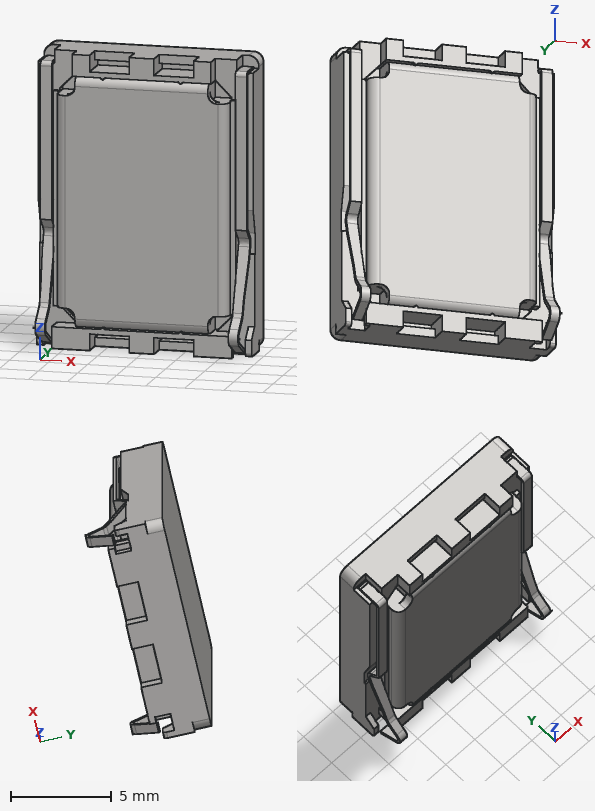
import cadquery as cq
import math


width = 11.0
height = 15.0
half_width = width / 2
mid_height = height / 2
corner_radius = 0.52
upper_corner_depth = 0.98
lower_corner_depth = 0.87

shelf_depth = 2.12
dip_depth = 1.74
low_shelf_depth = 1.85
core_depth = 2.34
bar_depth = 2.95
plate_depth = 3.02
overall_depth = 3.98

core_half_width = 4.66
shelf_slope_top = 7.4
shelf_slope_bottom = 6.16
dip_bottom = 5.1
core_half_height = 5.46

prong_width = 0.32
prong_depth = 2.43
prong_top = 0.87
prong_slope_top = 1.42
prong_corner_radius = 0.18

notch_height = 0.63

bar_height = 1.11
top_bar_half_width = 3.55
bottom_bar_half_width = 4.6
tip_recess_width = 0.3
tip_recess_height = 0.51
tip_recess_depth = 2.62

pocket_width = 2.02
pocket_spacing = 3.3
pocket_height = 0.84
pocket_back_depth = 1.89
lip_height = 0.45
undercut = 0.6
nib_spacing = 3.99
nib_half_width = 0.14
nib_height = 0.1

plate_half_width = 4.4
plate_half_height = mid_height - bar_height
plate_corner_chamfer = 0.82
plate_edge_radius = 0.48
plate_top = mid_height + plate_half_height
corner_notch_depth = 2.56
corner_pocket_depth = 1.5
corner_pocket_width = 0.99

spring_thickness = 0.16
spring_outer = 5.28
spring_inner = 4.7
spring_tip_outer = 5.19
taper_top = 4.88
taper_bottom = 3.0
spring_leg_depth = 1.05
spring_top = 14.49
spring_front_depth = 2.55
spring_bend_radius = 0.15
spring_leg_bevel_length = 0.18
spring_leg_bevel_height = 0.09
spring_run_bottom = 6.48

dip_start = (-2.02, 6.03)
dip_middle_z = 5.75
dip_end = (-1.86, 5.48)
elbow_start = (-2.98, 2.32)
elbow_middle = (-3.05, 2.2)
elbow_end = (-3.14, 2.08)
loop_start = (-3.68, 1.6)
loop_middle_z = 1.23
loop_end = (-3.72, 0.92)
tip_end = (-2.6, 0.32)


def box(x0, x1, depth0, depth1, z0, z1):
    """Box between two X, two depth and two Z positions."""
    size = (x1 - x0, depth1 - depth0, z1 - z0)
    return cq.Workplane("XY").box(*size, centered=False).translate((x0, -depth1, z0))


def side_profile(points, x0, x1):
    """Outline of (depth, Z) points, extruded from x0 to x1."""
    outline = [(-depth, z) for depth, z in points]
    return cq.Workplane("YZ").polyline(outline).close().extrude(x1 - x0).translate((x0, 0, 0))


def mirrored(solid):
    """The solid together with its mirror image across X = 0."""
    return solid.union(solid.mirror("YZ"))


def top_bottom(solid):
    """The solid together with its mirror image across mid height."""
    return solid.union(solid.mirror("XY", (0, 0, mid_height)))


def corner_trim(depth):
    """Sliver outside the rounded upper corner, from the back to a depth."""
    x = half_width - corner_radius
    z = height - corner_radius
    square = box(-half_width, -x, 0, depth, z, height)
    disc = cq.Workplane("XZ", origin=(-x, 0, z)).circle(corner_radius).extrude(depth)
    return square.cut(disc)


def make_body():
    """Back housing with stepped side shelves, a raised core and lower prongs."""
    shelf_outline = [
        (0, 0),
        (0, height),
        (shelf_depth, height),
        (shelf_depth, shelf_slope_top),
        (dip_depth, shelf_slope_bottom),
        (dip_depth, dip_bottom),
        (low_shelf_depth, dip_bottom),
        (low_shelf_depth, 0),
    ]
    prong_outline = [
        (0, 0),
        (0, prong_slope_top),
        (low_shelf_depth, prong_slope_top),
        (prong_depth, prong_top),
        (prong_depth, 0),
    ]
    core_bottom = mid_height - core_half_height
    core_top = mid_height + core_half_height
    body = side_profile(shelf_outline, -half_width, half_width)
    prong = side_profile(prong_outline, -half_width, -half_width + prong_width)
    prong = prong.edges("|X and <Y and <Z").fillet(prong_corner_radius)
    body = body.union(mirrored(prong))
    body = body.union(box(-core_half_width, core_half_width, 0, shelf_depth, core_bottom, height))
    body = body.union(box(-core_half_width, core_half_width, 0, core_depth, core_bottom, core_top))

    notch_bottom = height - notch_height
    notch = box(-half_width, -core_half_width, upper_corner_depth, bar_depth, notch_bottom, height)
    lower_trim = corner_trim(lower_corner_depth).mirror("XY", (0, 0, mid_height))
    body = body.cut(mirrored(notch))
    body = body.cut(mirrored(corner_trim(upper_corner_depth)))
    return body.cut(mirrored(lower_trim))


def make_bars():
    """End bars with small nibs that press on the cover plate."""
    bar_bottom = height - bar_height
    bars = box(-top_bar_half_width, top_bar_half_width, 0, bar_depth, bar_bottom, height)
    bars = bars.union(box(-bottom_bar_half_width, bottom_bar_half_width, 0, bar_depth, 0, bar_height))

    nib_x = nib_spacing / 2
    nib_points = [
        (-nib_x - nib_half_width, bar_bottom),
        (-nib_x + nib_half_width, bar_bottom),
        (-nib_x, bar_bottom - nib_height),
    ]
    nib = cq.Workplane("XZ").polyline(nib_points).close().extrude(bar_depth)
    return bars.union(mirrored(top_bottom(nib)))


def make_bar_cuts():
    """Undercut pockets in both bars and the recesses behind the spring tips."""
    x0 = -(pocket_spacing + pocket_width) / 2
    x1 = x0 + pocket_width
    floor = height - pocket_height
    pocket = box(x0, x1, pocket_back_depth, bar_depth, floor, height)
    pocket = pocket.union(
        box(x0, x1, pocket_back_depth - undercut, bar_depth, floor, height - lip_height)
    )
    recess = box(
        -bottom_bar_half_width,
        -bottom_bar_half_width + tip_recess_width,
        low_shelf_depth,
        tip_recess_depth,
        0,
        tip_recess_height,
    )
    return mirrored(top_bottom(pocket).union(recess))


def make_plate():
    """Cover plate with rounded front edges and chamfered corners."""
    return (
        cq.Workplane("XZ", origin=(0, 0, mid_height))
        .rect(2 * plate_half_width, 2 * plate_half_height)
        .extrude(plate_depth)
        .faces("<Y")
        .edges()
        .fillet(plate_edge_radius)
        .cut(mirrored(top_bottom(make_corner_chamfer())))
    )


def make_corner_chamfer():
    """Triangle outside the plate's upper left chamfer."""
    return (
        cq.Workplane("XZ")
        .polyline([
            (-plate_half_width, plate_top),
            (-plate_half_width + plate_corner_chamfer, plate_top),
            (-plate_half_width, plate_top - plate_corner_chamfer),
        ])
        .close()
        .extrude(plate_depth)
    )


def make_corner_pockets():
    """Square pockets inside the plate chamfers, opening through rounded notches."""
    left = -plate_half_width
    right = left + corner_pocket_width
    bottom = plate_top - corner_pocket_width
    pocket = box(left, right, corner_pocket_depth, corner_notch_depth, bottom, plate_top)
    notch = box(left, right, corner_notch_depth, plate_depth, bottom, plate_top)
    notch = notch.edges("|Y and >X and <Z").fillet(plate_edge_radius)
    corner = pocket.union(notch).cut(make_corner_chamfer())
    return mirrored(top_bottom(corner))


def make_spring():
    """Bent contact strip: top leg, straight run, dip, outward loop and returning tip."""
    half = spring_thickness / 2
    front = spring_front_depth - half
    top = spring_top - half
    bend = spring_bend_radius
    bend_mid = bend * (1 - math.cos(math.radians(45)))
    path = (
        cq.Workplane("YZ")
        .moveTo(-spring_leg_depth, top)
        .lineTo(-front + bend, top)
        .threePointArc((-front + bend_mid, top - bend_mid), (-front, top - bend))
        .lineTo(-front, spring_run_bottom)
        .lineTo(*dip_start)
        .threePointArc((-dip_depth - half, dip_middle_z), dip_end)
        .lineTo(*elbow_start)
        .threePointArc(elbow_middle, elbow_end)
        .lineTo(*loop_start)
        .threePointArc((-overall_depth + half, loop_middle_z), loop_end)
        .lineTo(*tip_end)
    )
    strip_width = spring_outer - spring_inner
    strip = (
        cq.Workplane("XY", origin=(0, -spring_leg_depth, top))
        .transformed(rotate=(90, 0, 0))
        .rect(strip_width, spring_thickness)
        .sweep(path, transition="right")
        .translate((-(spring_outer + spring_inner) / 2, 0, 0))
    )
    taper = (
        cq.Workplane("XZ")
        .polyline([
            (-spring_outer, taper_top),
            (-spring_tip_outer, taper_bottom),
            (-spring_tip_outer, 0),
            (-spring_outer, 0),
        ])
        .close()
        .extrude(overall_depth)
    )
    bevel = side_profile(
        [
            (spring_leg_depth, spring_top),
            (spring_leg_depth + spring_leg_bevel_length, spring_top),
            (spring_leg_depth, spring_top - spring_leg_bevel_height),
        ],
        -spring_outer,
        -spring_inner,
    )
    return strip.cut(taper).cut(bevel)


body = make_body().union(make_bars()).cut(make_bar_cuts())
body = body.union(make_plate()).cut(make_corner_pockets())
result = body.union(mirrored(make_spring()))